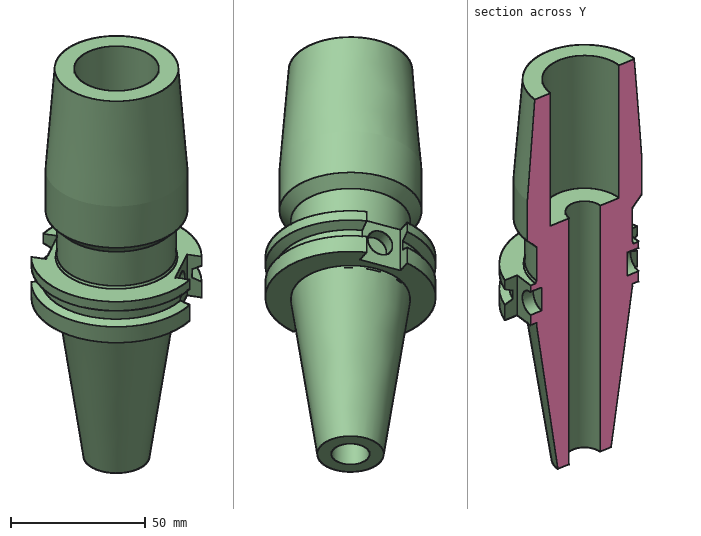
import cadquery as cq

total_length = 169.8
taper_top = 68.3
flange_bottom = 69.3
groove_bottom = 76.3
groove_floor_bottom = 77.5
groove_floor_top = 81.2
groove_top = 83.2
flange_top = 87.3
collar_top = 88.3
neck_top = 103.3
body_bottom = 107.7
body_top = 125.9

taper_small_radius = 12.4
taper_large_radius = 22.3
relief_radius = 22.0
flange_radius = 31.8
groove_radius = 28.2
collar_radius = 22.8
neck_radius = 22.3
body_radius = 26.5
nose_radius = 23.1

tool_bore_radius = 15.8
tool_bore_depth = 59.5
through_bore_radius = 7.1

slot_width = 16.8
slot_floor_x = 25.0
slot_hole_radius = 5.1
slot_hole_depth = 5.1
slot_hole_z = 79.2


def turned_body():
    """Revolve the taper, grooved flange, neck and nose about Z."""
    profile = [
        (0, 0),
        (taper_small_radius, 0),
        (taper_large_radius, taper_top),
        (relief_radius, flange_bottom),
        (flange_radius, flange_bottom),
        (flange_radius, groove_bottom),
        (groove_radius, groove_floor_bottom),
        (groove_radius, groove_floor_top),
        (flange_radius, groove_top),
        (flange_radius, flange_top),
        (collar_radius, flange_top),
        (neck_radius, collar_top),
        (neck_radius, neck_top),
        (body_radius, body_bottom),
        (body_radius, body_top),
        (nose_radius, total_length),
        (0, total_length),
    ]
    return cq.Workplane("XZ").polyline(profile).close().revolve(360, (0, 0), (0, 1))


def axial_bores():
    """Tool bore from the nose, continued by a smaller hole through the taper."""
    through_bore = cq.Workplane("XY").circle(through_bore_radius).extrude(total_length)
    tool_bore = (
        cq.Workplane("XY", origin=(0, 0, total_length))
        .circle(tool_bore_radius)
        .extrude(-tool_bore_depth)
    )
    return through_bore.union(tool_bore)


def drive_slot():
    """Cutter for the slot on the +X side, including its blind hole."""
    slot = cq.Workplane("XY").box(
        flange_radius,
        slot_width,
        flange_top - flange_bottom,
        centered=(False, True, False),
    ).translate((slot_floor_x, 0, flange_bottom))
    hole = (
        cq.Workplane("YZ", origin=(slot_floor_x, 0, slot_hole_z))
        .circle(slot_hole_radius)
        .extrude(-slot_hole_depth)
    )
    return slot.union(hole)


result = turned_body().cut(axial_bores())
for angle in (0, 180):
    result = result.cut(drive_slot().rotate((0, 0, 0), (0, 0, 1), angle))